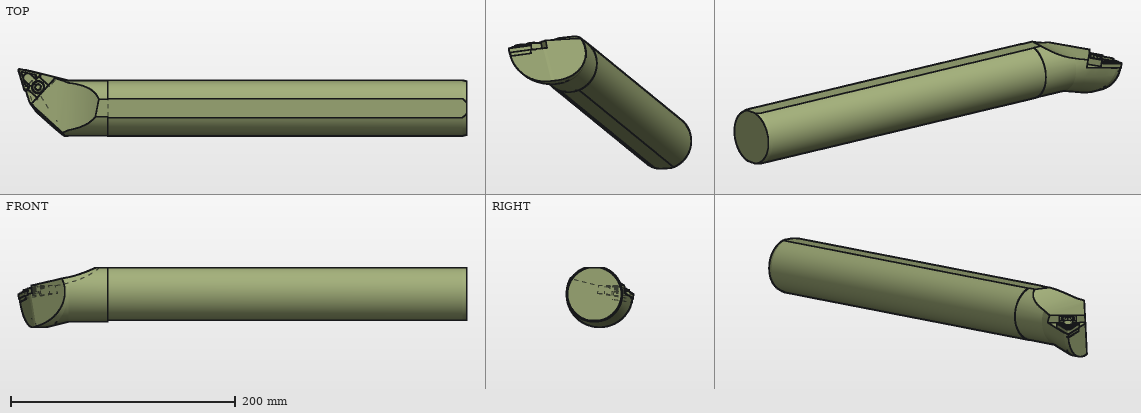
import cadquery as cq
import math

total_length = 400.0
shank_diameter = 50.0
shank_radius = shank_diameter / 2
flat_height = 23.5
shank_start = 80.0
neck_start = 45.0
neck_radius = 24.75
rear_chamfer_length = 4.0
rear_chamfer_depth = 1.0

flare_slope = 0.25
head_radius = 29.69
head_shift = head_radius - shank_radius

nose_offset = 35.0
nose_angle = 60.0
insert_edge = 22.0
insert_thickness = 4.0
nose_radius = 1.2
lead_angle = 42.5
rake_angle = 9.6
insert_inradius = insert_edge / (2 * math.sqrt(3))
insert_circumradius = 2 * insert_inradius
insert_center = insert_circumradius - 2 * nose_radius
breaker_width = 2.2
breaker_height = 1.0

shim_thickness = 3.2
shim_inset = 0.4
wall_distance = 28.9
deck_height = 2.9
side_facet_distance = 15.3
side_relief = 3.0
front_facet_inset = 0.8
facet_break = 2.5

relief_curve_start = 34.5
relief_curve_radius = 90.0
relief_curve_sweep = 30.0

screw_center = 23.0
clamp_width = 15.0
clamp_front = insert_center + insert_inradius
clamp_height = 2.2
finger_width = 8.0
recess_radius = 5.6
recess_depth = 1.0
screw_radius = 5.0
screw_head_height = 2.3
screw_rounding = 2.0
hex_size = 5.0
hex_depth = 2.5

reach = 100.0

lead = math.radians(lead_angle)
rake = math.radians(rake_angle)
bisector = (math.cos(lead), -math.sin(lead))
face_normal = cq.Vector(-math.sin(rake) * bisector[0], -math.sin(rake) * bisector[1], math.cos(rake))
nose_center = cq.Vector(nose_radius, nose_offset - nose_radius, 0)
bisector_rise = (bisector[0], bisector[1], math.tan(rake))
bar_rise = (1, 0, math.tan(rake) * bisector[0])
insert_frame = cq.Location(cq.Plane(nose_center, bisector_rise, face_normal))
relief_frame = cq.Location(cq.Plane(nose_center, bar_rise, face_normal))


def in_insert_frame(shape):
    """Move a shape drawn about the nose centre, x along the bisector, into its tilted place."""
    return cq.Workplane(shape.val().moved(insert_frame))


def sketch_at(x, height):
    """Empty workplane in the insert frame, centred on the nose bisector."""
    return cq.Workplane("XY", origin=(x, 0, height))


def rounded_triangle(bottom, height, inset=0.0, corner_radius=nose_radius):
    """Triangular plate about the insert centre; inset moves its sides inward."""
    circumradius = insert_circumradius - 2 * inset
    return (
        sketch_at(insert_center, bottom).transformed(rotate=(0, 0, 180))
        .polygon(3, 2 * circumradius).extrude(height)
        .edges("|Z").fillet(corner_radius)
    )


def make_shank():
    shank = (
        cq.Workplane("YZ").workplane(offset=shank_start)
        .circle(shank_radius).extrude(total_length - shank_start)
    )
    rear = (
        cq.Workplane("XY")
        .moveTo(total_length - rear_chamfer_length, shank_radius)
        .lineTo(total_length, shank_radius)
        .lineTo(total_length, shank_radius - rear_chamfer_depth)
        .close().revolve(360, (0, 0, 0), (1, 0, 0))
    )
    band = cq.Workplane("XY").box(2 * total_length, shank_diameter, 2 * flat_height)
    return shank.cut(rear).intersect(band)


def make_head():
    nose_cone_radius = neck_radius + flare_slope * neck_start
    cone = (
        cq.Workplane("XY").lineTo(0, nose_cone_radius).lineTo(neck_start, neck_radius)
        .lineTo(neck_start, 0).close().revolve(360, (0, 0, 0), (1, 0, 0))
    )
    trim = cq.Workplane("YZ").center(head_shift, 0).circle(head_radius).extrude(neck_start)
    return cone.intersect(trim)


def make_neck():
    neck = (
        cq.Workplane("YZ").workplane(offset=neck_start)
        .circle(neck_radius).extrude(shank_start - neck_start)
    )
    above_flat = cq.Workplane("XY").box(2 * total_length, reach, reach, centered=(True, True, False))
    return neck.cut(above_flat.translate((0, 0, flat_height)))


def top_relief():
    """Everything above the deck plane and the curve that rises from it."""
    sweep = math.radians(relief_curve_sweep)

    def on_curve(angle):
        return (relief_curve_start + relief_curve_radius * math.sin(angle),
                deck_height + relief_curve_radius * (1 - math.cos(angle)))

    cutter = (
        cq.Workplane("XZ").workplane(offset=-reach)
        .moveTo(-reach, deck_height).lineTo(relief_curve_start, deck_height)
        .threePointArc(on_curve(sweep / 2), on_curve(sweep))
        .lineTo(on_curve(sweep)[0], reach).lineTo(-reach, reach)
        .close().extrude(2 * reach)
    )
    return cq.Workplane(cutter.val().moved(relief_frame))


def facet_cutter(edge_x, edge_y, heading, relief):
    """Block outside a facet whose top edge passes through (edge_x, edge_y) at the given heading.

    The relief angle swings the lower end of the facet outward.
    """
    block = (
        cq.Workplane("XY").box(2 * reach, reach, 2 * reach, centered=(True, False, True))
        .translate((0, -reach, 0))
        .rotate((0, 0, 0), (1, 0, 0), -relief)
        .rotate((0, 0, 0), (0, 0, 1), heading)
        .translate((edge_x, edge_y, deck_height))
    )
    return in_insert_frame(block)


def cut_facets(head):
    """Front facet below the cutting edge, slanted side facet, and the strip that breaks their corner."""
    half_nose = math.radians(nose_angle / 2)
    front_x = (front_facet_inset - nose_radius) / math.sin(half_nose)
    corner_x = front_x + side_facet_distance / math.tan(half_nose)
    strip_x = corner_x + facet_break / (2 * math.cos(half_nose / 2))
    facets = [
        (front_x, 0, -nose_angle / 2, 0),
        (strip_x, -side_facet_distance, -nose_angle / 4, side_relief / 2),
        (corner_x, -side_facet_distance, 0, side_relief),
    ]
    for edge_x, edge_y, heading, relief in facets:
        head = head.cut(facet_cutter(edge_x, edge_y, heading, relief))
    return head


def seat_pocket():
    pocket = (
        cq.Workplane("XY").box(reach, reach, reach, centered=(False, True, False))
        .translate((wall_distance - reach, 0, -insert_thickness))
    )
    return in_insert_frame(pocket)


def make_shim():
    return in_insert_frame(rounded_triangle(-insert_thickness - shim_thickness, shim_thickness, shim_inset))


def bar_along_bisector(start, end, width, bottom, top):
    return sketch_at((start + end) / 2, bottom).rect(end - start, width).extrude(top - bottom)


def make_clamp():
    """Clamp block behind the insert, with a round-tipped finger reaching to the middle of the insert."""
    clamp = bar_along_bisector(clamp_front, wall_distance, clamp_width, -insert_thickness, clamp_height)
    finger = bar_along_bisector(insert_center, clamp_front, finger_width, 0, clamp_height)
    finger_tip = sketch_at(insert_center, 0).circle(finger_width / 2).extrude(clamp_height)
    clamp = clamp.union(finger).union(finger_tip)
    recess_floor = clamp_height - recess_depth
    screw_top = recess_floor + screw_head_height
    recess = sketch_at(screw_center, recess_floor).circle(recess_radius).extrude(reach)
    screw_head = sketch_at(screw_center, recess_floor).circle(screw_radius).extrude(screw_head_height)
    screw_head = screw_head.faces(">Z").edges().fillet(screw_rounding)
    hex_corner_diameter = hex_size / math.cos(math.pi / 6)
    hex_socket = sketch_at(screw_center, screw_top).polygon(6, hex_corner_diameter).extrude(-hex_depth)
    return in_insert_frame(clamp.cut(recess).union(screw_head).cut(hex_socket))


def make_insert():
    plate = rounded_triangle(-insert_thickness, insert_thickness)
    breaker = rounded_triangle(0, breaker_height, breaker_width, nose_radius / 2)
    return in_insert_frame(plate.union(breaker))


insert = make_insert()
head = make_head().union(make_neck()).cut(top_relief())
head = cut_facets(head).cut(seat_pocket())
bar = make_shank().union(head).union(make_shim()).union(make_clamp()).cut(insert)

result = cq.Compound.makeCompound([bar.val(), insert.val()])